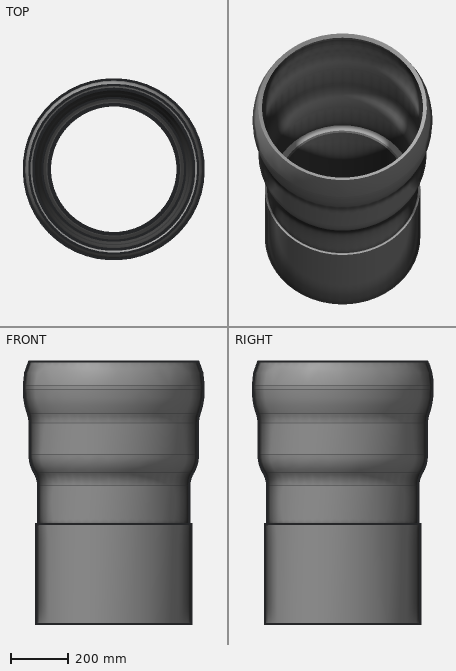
import cadquery as cq
import math

total_height = 920.05

pipe_outer_radius = 545 / 2
pipe_bore_radius = 447 / 2
pipe_length = 350
pipe_bore_chamfer = 5

wall = 15
neck_radius = 530 / 2
barrel_radius = 590 / 2
bulge_radius = 630 / 2

neck_straight = 136
barrel_straight = 110
bulge_straight = 14

shoulder_lower_bend = 85
shoulder_upper_bend = 125
bulge_lower_bend = 100
bulge_crest_bend = 250
bulge_rim_bend = 195


def flare_angle(radius_gain, hollow_bend, domed_bend):
    """Steepest lean of two tangent bends that together widen the wall by radius_gain."""
    return math.acos(1 - radius_gain / (hollow_bend + domed_bend))


shoulder_angle = flare_angle(barrel_radius - neck_radius, shoulder_lower_bend, shoulder_upper_bend)
bulge_angle = flare_angle(bulge_radius - barrel_radius, bulge_lower_bend, bulge_crest_bend)

shoulder_start = pipe_length + neck_straight
barrel_start = shoulder_start + (shoulder_lower_bend + shoulder_upper_bend) * math.sin(shoulder_angle)
bulge_start = barrel_start + barrel_straight
crest_start = bulge_start + (bulge_lower_bend + bulge_crest_bend) * math.sin(bulge_angle)
crest_end = crest_start + bulge_straight
rim_angle = math.asin((total_height - crest_end) / bulge_rim_bend)


def hollow_point(start_radius, start_height, bend, inset, angle):
    """Point on a bend curving outward from a straight wall below it, inset from the outer surface."""
    bend_here = bend + inset
    return (start_radius + bend - bend_here * math.cos(angle), start_height + bend_here * math.sin(angle))


def domed_point(end_radius, end_height, bend, inset, angle):
    """Point on a bend centred inside the wall; negative angles lie below end_height."""
    bend_here = bend - inset
    return (end_radius - bend + bend_here * math.cos(angle), end_height + bend_here * math.sin(angle))


def wall_path(inset):
    """Start point of the socket wall, then its stretches upward as (middle, end); straight has no middle."""

    def neck_bend(angle):
        return hollow_point(neck_radius, shoulder_start, shoulder_lower_bend, inset, angle)

    def barrel_bend(angle):
        return domed_point(barrel_radius, barrel_start, shoulder_upper_bend, inset, angle)

    def bulge_bend(angle):
        return hollow_point(barrel_radius, bulge_start, bulge_lower_bend, inset, angle)

    def crest_bend(angle):
        return domed_point(bulge_radius, crest_start, bulge_crest_bend, inset, angle)

    def rim_bend(angle):
        return domed_point(bulge_radius, crest_end, bulge_rim_bend, inset, angle)

    start = (neck_radius - inset, pipe_length)
    stretches = [
        (None, neck_bend(0)),
        (neck_bend(shoulder_angle / 2), neck_bend(shoulder_angle)),
        (barrel_bend(-shoulder_angle / 2), barrel_bend(0)),
        (None, bulge_bend(0)),
        (bulge_bend(bulge_angle / 2), bulge_bend(bulge_angle)),
        (crest_bend(-bulge_angle / 2), crest_bend(0)),
        (None, rim_bend(0)),
        (rim_bend(rim_angle / 2), rim_bend(rim_angle)),
    ]
    return start, stretches


def add_stretch(profile, middle, end):
    if middle is None:
        return profile.lineTo(*end)
    return profile.threePointArc(middle, end)


def make_socket():
    """Bell socket standing on the pipe end; its rim is cut square to the leaning wall."""
    outer_start, outer_stretches = wall_path(0)
    inner_start, inner_stretches = wall_path(wall)

    profile = cq.Workplane("YZ").moveTo(*outer_start)
    for middle, end in outer_stretches:
        profile = add_stretch(profile, middle, end)

    rim_inner_edge = inner_stretches[-1][1]
    profile = profile.lineTo(*rim_inner_edge)
    lower_ends = [inner_start] + [end for _, end in inner_stretches[:-1]]
    middles = [middle for middle, _ in inner_stretches]
    for middle, end in zip(reversed(middles), reversed(lower_ends)):
        profile = add_stretch(profile, middle, end)
    return profile.close().revolve(360, (0, 0, 0), (0, 1, 0))


def make_pipe():
    """Thick plain pipe with a chamfered bore at its upper end."""
    pipe = cq.Workplane("XY").circle(pipe_outer_radius).circle(pipe_bore_radius).extrude(pipe_length)
    bore_edge = pipe.faces(">Z").edges(cq.selectors.RadiusNthSelector(0))
    return bore_edge.chamfer(pipe_bore_chamfer)


socket = make_socket()
pipe = make_pipe()

result = cq.Compound.makeCompound([socket.val(), pipe.val()])